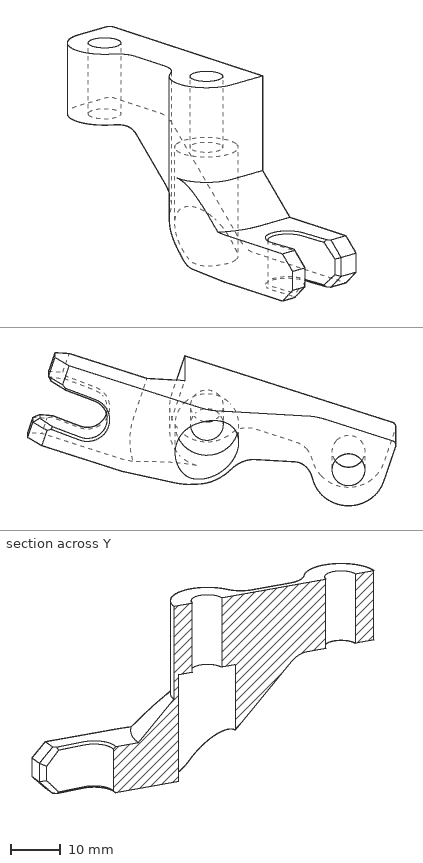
import cadquery as cq
import math

HEIGHT = 38.0
BACK_Y = 8.5
OVERCUT = 1.0

CHAMFER_DEGREES = 45
SLOPE_ANGLE = math.radians(CHAMFER_DEGREES)

LUG_RADIUS = 7.5
LUG_THICKNESS = 15.0
BOLT_SPACING = 30.0
NEAR_BOLT_X = LUG_RADIUS
FAR_BOLT_X = NEAR_BOLT_X + BOLT_SPACING
BOLT_HOLE_DIAMETER = 6.6
COUNTERBORE_DIAMETER = 12.8
WEB_FRONT_Y = -1.5
WEB_FILLET = 5.0
BACK_CORNER_FILLET = 1.0

BODY_END_X = FAR_BOLT_X + LUG_RADIUS
LUG_UNDERSIDE_Z = HEIGHT - LUG_THICKNESS
SLOPE_FOOT_X = 40.0
SLOPE_TOP_X = SLOPE_FOOT_X - LUG_UNDERSIDE_Z
SLOPE_FILLET = 5.0

FOOT_END_X = 72.5
FOOT_THICKNESS = 10.0
FOOT_FRONT_Y = -9.0
FOOT_START_X = 52.5
FLARE_TOP_Z = 18.0
TIP_CHAMFER = 3.0

SLOT_RADIUS = 4.0
SLOT_CENTER = (62.5, -1.0)
SLOT_ANGLE = 3.0
SLOT_EDGE_CHAMFER = 0.5
MOUTH_CENTER_Y = -0.65
MOUTH_HALF_WIDTH = 5.0
BEVEL_DEPTH = 2.0


def lug_plan():
    """Plan of both lugs and the web, with fillets tangent to lugs and web."""
    fillet_y = WEB_FRONT_Y - WEB_FILLET
    reach = LUG_RADIUS + WEB_FILLET
    fillet_dx = math.sqrt(reach**2 - fillet_y**2)
    touch_dx = fillet_dx * LUG_RADIUS / reach
    touch_y = fillet_y * LUG_RADIUS / reach
    bend = math.atan2(fillet_dx, -fillet_y) / 2
    mid_dx = fillet_dx - WEB_FILLET * math.sin(bend)
    mid_y = fillet_y + WEB_FILLET * math.cos(bend)
    return (
        cq.Workplane("XY")
        .moveTo(0, BACK_Y)
        .lineTo(0, 0)
        .threePointArc((NEAR_BOLT_X, -LUG_RADIUS), (NEAR_BOLT_X + touch_dx, touch_y))
        .threePointArc((NEAR_BOLT_X + mid_dx, mid_y), (NEAR_BOLT_X + fillet_dx, WEB_FRONT_Y))
        .lineTo(FAR_BOLT_X - fillet_dx, WEB_FRONT_Y)
        .threePointArc((FAR_BOLT_X - mid_dx, mid_y), (FAR_BOLT_X - touch_dx, touch_y))
        .threePointArc((FAR_BOLT_X, -LUG_RADIUS), (BODY_END_X, 0))
        .lineTo(BODY_END_X, BACK_Y)
        .close()
    )


def foot_plan():
    """Plan of the foot; its front face leaves the far lug along a tangent."""
    dx = FOOT_START_X - FAR_BOLT_X
    distance = math.hypot(dx, FOOT_FRONT_Y)
    touch_angle = math.atan2(FOOT_FRONT_Y, dx) - math.acos(LUG_RADIUS / distance)
    touch_x = FAR_BOLT_X + LUG_RADIUS * math.cos(touch_angle)
    touch_y = LUG_RADIUS * math.sin(touch_angle)
    return cq.Workplane("XY").polyline([
        (FAR_BOLT_X - LUG_RADIUS, BACK_Y),
        (FAR_BOLT_X - LUG_RADIUS, 0),
        (touch_x, touch_y),
        (FOOT_START_X, FOOT_FRONT_Y),
        (FOOT_END_X, FOOT_FRONT_Y),
        (FOOT_END_X, BACK_Y),
    ]).close()


def flared_envelope():
    """Foot slab plus a 45 degree flare: a cone in front, a plane behind the bolt axis."""
    rise = FLARE_TOP_Z - FOOT_THICKNESS
    wide_radius = LUG_RADIUS + rise
    cone = cq.Workplane("XY").add(
        cq.Solid.makeCone(wide_radius, LUG_RADIUS, rise)
    ).translate((FAR_BOLT_X, 0, FOOT_THICKNESS))
    wedge = (
        cq.Workplane("XZ")
        .polyline([
            (FAR_BOLT_X - LUG_RADIUS, FOOT_THICKNESS),
            (FAR_BOLT_X + wide_radius, FOOT_THICKNESS),
            (BODY_END_X, FLARE_TOP_Z),
            (FAR_BOLT_X - LUG_RADIUS, FLARE_TOP_Z),
        ])
        .close()
        .extrude(-BACK_Y)
    )
    slab = (
        cq.Workplane("XY")
        .box(FOOT_END_X, BACK_Y - FOOT_FRONT_Y, FOOT_THICKNESS, centered=False)
        .translate((0, FOOT_FRONT_Y, 0))
    )
    return slab.union(cone).union(wedge)


def side_envelope():
    """Side outline with the sloped, filleted underside and the pointed tip."""
    depth = BACK_Y - FOOT_FRONT_Y
    outline = (
        cq.Workplane("XZ", origin=(0, BACK_Y, 0))
        .polyline([
            (0, HEIGHT),
            (0, LUG_UNDERSIDE_Z),
            (SLOPE_TOP_X, LUG_UNDERSIDE_Z),
            (SLOPE_FOOT_X, 0),
            (FOOT_END_X - TIP_CHAMFER, 0),
            (FOOT_END_X, TIP_CHAMFER),
            (FOOT_END_X, FOOT_THICKNESS - TIP_CHAMFER),
            (FOOT_END_X - TIP_CHAMFER, FOOT_THICKNESS),
            (FOOT_END_X - TIP_CHAMFER, HEIGHT),
        ])
        .close()
        .extrude(depth)
    )
    mid_y = (BACK_Y + FOOT_FRONT_Y) / 2
    for x, z in ((SLOPE_TOP_X, LUG_UNDERSIDE_Z), (SLOPE_FOOT_X, 0)):
        corner = cq.selectors.NearestToPointSelector((x, mid_y, z))
        outline = outline.edges("|Y").edges(corner).fillet(SLOPE_FILLET)
    return outline


def bolt_holes():
    """Two through holes; the far one is counterbored to give both bolts the same grip."""
    holes = (
        cq.Workplane("XY")
        .pushPoints([(NEAR_BOLT_X, 0), (FAR_BOLT_X, 0)])
        .circle(BOLT_HOLE_DIAMETER / 2)
        .extrude(HEIGHT)
    )
    counterbore = (
        cq.Workplane("XY")
        .center(FAR_BOLT_X, 0)
        .circle(COUNTERBORE_DIAMETER / 2)
        .extrude(LUG_UNDERSIDE_Z)
    )
    return holes.union(counterbore)


def slot_layer(radius, bottom, height, taper=0):
    """Open-ended slot of one layer, rounded at its closed end."""
    length = FOOT_END_X - SLOT_CENTER[0] + SLOT_RADIUS
    return (
        cq.Workplane("XY", origin=(0, 0, bottom))
        .moveTo(length, radius)
        .lineTo(0, radius)
        .threePointArc((-radius, 0), (0, -radius))
        .lineTo(length, -radius)
        .close()
        .extrude(height, taper=taper)
    )


def slot():
    """Through slot with its upper and lower edges chamfered at 45 degrees."""
    wide_radius = SLOT_RADIUS + SLOT_EDGE_CHAMFER
    lower = slot_layer(wide_radius, 0, SLOT_EDGE_CHAMFER, taper=CHAMFER_DEGREES)
    upper = lower.mirror("XY").translate((0, 0, FOOT_THICKNESS))
    cutter = slot_layer(SLOT_RADIUS, 0, FOOT_THICKNESS).union(lower).union(upper)
    cutter = cutter.rotate((0, 0, 0), (0, 0, 1), SLOT_ANGLE)
    return cutter.translate((SLOT_CENTER[0], SLOT_CENTER[1], 0))


def tip_surround(y, setback):
    """Wire around the outside of the pointed tip, with every tip face set back equally."""
    end_x = FOOT_END_X - setback
    past_x = FOOT_END_X + OVERCUT
    corner_height = TIP_CHAMFER + setback * math.tan(SLOPE_ANGLE / 2)
    slant_x = end_x - corner_height - OVERCUT
    points = [
        (past_x, -OVERCUT),
        (slant_x, -OVERCUT),
        (end_x, corner_height),
        (end_x, FOOT_THICKNESS - corner_height),
        (slant_x, FOOT_THICKNESS + OVERCUT),
        (past_x, FOOT_THICKNESS + OVERCUT),
    ]
    return cq.Wire.makePolygon([cq.Vector(x, y, z) for x, z in points], close=True)


def mouth_bevel(side):
    """Equal-leg bevel on the inner tip edges of one prong (side is -1 front, 1 back)."""
    outer_y = MOUTH_CENTER_Y + side * MOUTH_HALF_WIDTH
    outer = tip_surround(outer_y, 0)
    inner = tip_surround(outer_y - side * BEVEL_DEPTH, BEVEL_DEPTH)
    return cq.Workplane("XY").add(cq.Solid.makeLoft([outer, inner], True))


body = lug_plan().extrude(HEIGHT)
body = body.edges("|Z and <X and >Y").fillet(BACK_CORNER_FILLET)
foot = foot_plan().extrude(FLARE_TOP_Z).intersect(flared_envelope())
result = (
    body.union(foot)
    .intersect(side_envelope())
    .cut(bolt_holes())
    .cut(slot())
    .cut(mouth_bevel(-1))
    .cut(mouth_bevel(1))
)